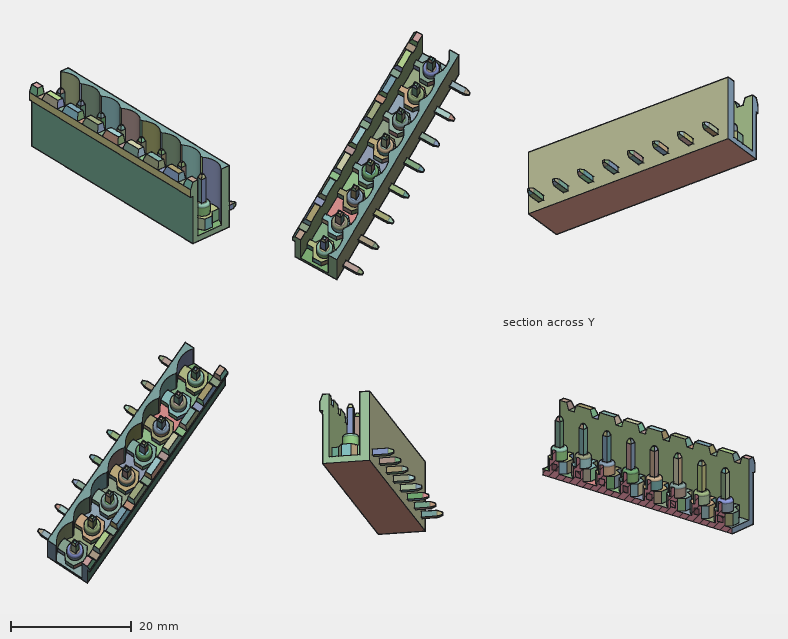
import cadquery as cq

pin_count = 8
pitch = 5.08
length = pin_count * pitch
pin_places = [(i + 0.5) * pitch for i in range(pin_count)]

housing_depth = 8.0
housing_height = 12.0
floor_thickness = 1.1
front_wall = 1.1
back_wall = 1.7

rib_reach = 0.5
rib_bottom = 9.2
rib_chamfer_start = 10.7

notch_top_width = 2.0
notch_floor_width = 1.2

scallop_depth = 0.85
land_width = 0.4

pin_y = 4.2
seat_top = 3.3
seat_half_width = 2.03
seat_side_back = 0.5
seat_side_front = -1.1
back_neck_half_width = 1.03
back_neck_start = 1.35
front_neck_half_width = 0.5
front_neck_start = -1.95
collar_diameter = 2.75
collar_top = 5.4
collar_fillet = 0.5

pin_width = 1.0
pin_tip_width = 0.45
contact_top = 10.7
contact_taper = 0.7
tail_z = 2.05
tail_reach = 3.5
tail_taper = 0.85


def make_channel():
    """U-shaped profile with the latch rib, extruded along X."""
    inner_back = housing_depth - back_wall
    return (
        cq.Workplane("YZ")
        .moveTo(0, 0)
        .lineTo(housing_depth, 0)
        .lineTo(housing_depth, housing_height)
        .lineTo(inner_back, housing_height)
        .lineTo(inner_back, floor_thickness)
        .lineTo(front_wall, floor_thickness)
        .lineTo(front_wall, housing_height)
        .lineTo(0, housing_height)
        .lineTo(-rib_reach, rib_chamfer_start)
        .lineTo(-rib_reach, rib_bottom)
        .lineTo(0, rib_bottom)
        .close()
        .extrude(length)
    )


def make_scallop(x):
    """Shallow arc-shaped cut in the back wall, from the channel floor to the top."""
    half_chord = (pitch - land_width) / 2
    wall_face = housing_depth - back_wall
    return (
        cq.Workplane("XY", origin=(x, wall_face, floor_thickness))
        .moveTo(-half_chord, 0)
        .threePointArc((0, scallop_depth), (half_chord, 0))
        .close()
        .extrude(housing_height - floor_thickness)
    )


def make_notch(x):
    """Tapered notch through the top of the front wall."""
    return (
        cq.Workplane("XZ", origin=(x, front_wall, 0))
        .moveTo(-notch_top_width / 2, housing_height)
        .lineTo(-notch_floor_width / 2, rib_chamfer_start)
        .lineTo(notch_floor_width / 2, rib_chamfer_start)
        .lineTo(notch_top_width / 2, housing_height)
        .close()
        .extrude(front_wall + rib_reach)
    )


def make_seat(x):
    """Block around the foot of a pin, joined to both walls, with its collar."""
    back_end = housing_depth - back_wall + scallop_depth - pin_y
    front_end = front_wall - pin_y
    right_side = [
        (back_neck_half_width, back_end),
        (back_neck_half_width, back_neck_start),
        (seat_half_width, seat_side_back),
        (seat_half_width, seat_side_front),
        (front_neck_half_width, front_neck_start),
        (front_neck_half_width, front_end),
    ]
    left_side = [(-px, py) for px, py in reversed(right_side)]
    block = (
        cq.Workplane("XY", origin=(x, pin_y, floor_thickness))
        .polyline(right_side + left_side)
        .close()
        .extrude(seat_top - floor_thickness)
    )
    collar = (
        cq.Workplane("XY", origin=(x, pin_y, seat_top))
        .circle(collar_diameter / 2)
        .extrude(collar_top - seat_top)
        .faces(">Z")
        .edges()
        .fillet(collar_fillet)
    )
    return block.union(collar)


def make_tapered_bar(plane, bar_length, taper_length):
    """Square bar from the plane's origin along its normal, ending in a tapered tip."""
    straight = bar_length - taper_length
    return (
        cq.Workplane(plane)
        .rect(pin_width, pin_width)
        .extrude(straight)
        .faces(cq.selectors.DirectionMinMaxSelector(plane.zDir))
        .workplane()
        .rect(pin_width, pin_width)
        .workplane(offset=taper_length)
        .rect(pin_tip_width, pin_tip_width)
        .loft(combine=True)
    )


def make_pin(x):
    """Right-angle pin: contact rising from the corner, tail running out of the back wall."""
    corner_bottom = tail_z - pin_width / 2
    corner_front = pin_y - pin_width / 2
    contact_plane = cq.Plane(origin=(x, pin_y, corner_bottom), xDir=(1, 0, 0), normal=(0, 0, 1))
    tail_plane = cq.Plane(origin=(x, corner_front, tail_z), xDir=(1, 0, 0), normal=(0, 1, 0))
    contact = make_tapered_bar(contact_plane, contact_top - corner_bottom, contact_taper)
    tail = make_tapered_bar(tail_plane, housing_depth + tail_reach - corner_front, tail_taper)
    return contact.union(tail)


pins = [make_pin(x) for x in pin_places]

housing = make_channel()
for x in pin_places:
    housing = housing.cut(make_scallop(x)).cut(make_notch(x))

for x in pin_places:
    housing = housing.union(make_seat(x))

for pin in pins:
    housing = housing.cut(pin)

result = cq.Compound.makeCompound([housing.solids().val(), *[pin.solids().val() for pin in pins]])